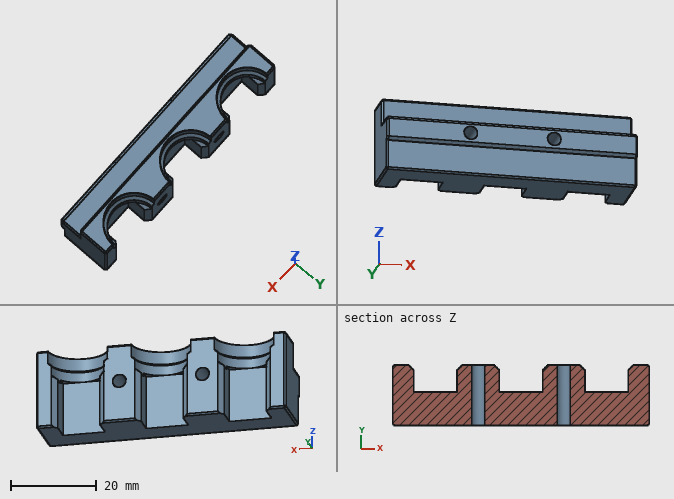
import cadquery as cq

length = 60.0
depth = 14.2
height = 19.0
upper_depth = 8.2
lower_depth = 13.2
ledge_z = 12.85
lip_z = 7.0
edge_chamfer = 0.4
lip_chamfer = 0.7

pitch = length / 3
seat_centers = (-pitch, 0, pitch)
seat_radius = 7.15
seat_chamfer = 0.1
seat_wall_height = 3.1
cone_height = 0.65
bore_radius = 6.3

slot_half_width = 5.05
flare = bore_radius - slot_half_width
slope_top_z = ledge_z
slope_height = 0.8

hole_diameter = 3.2
hole_z = 10.0
hole_centers = (-pitch / 2, pitch / 2)


def make_body():
    outline = [
        (0, 0),
        (-lower_depth, 0),
        (-lower_depth, lip_z),
        (-depth, lip_z),
        (-depth, ledge_z),
        (-upper_depth, ledge_z),
        (-upper_depth, height),
        (0, height),
    ]
    body = cq.Workplane("YZ").polyline(outline).close().extrude(length)
    body = body.translate((-length / 2, 0, 0))
    lip_edges = body.faces("<Y").edges("|X")
    body = lip_edges.chamfer(lip_chamfer)
    long_edges = body.faces("<Z or >Z").edges("|X")
    body = long_edges.chamfer(edge_chamfer)
    return body.faces("<X or >X").chamfer(edge_chamfer)


def make_seat_cutter():
    """Stepped round seat and the slot beneath it, centred on X = 0."""
    seat_rim_radius = seat_radius + seat_chamfer
    cone_top_z = height - seat_wall_height
    cone_bottom_z = cone_top_z - cone_height
    slope_bottom_z = slope_top_z - slope_height

    round_profile = [
        (0, slope_bottom_z),
        (bore_radius, slope_bottom_z),
        (bore_radius, cone_bottom_z),
        (seat_radius, cone_top_z),
        (seat_radius, height - seat_chamfer),
        (seat_rim_radius, height),
        (0, height),
    ]
    seat = cq.Workplane("XZ").polyline(round_profile).close().revolve(360, (0, 0), (0, 1))

    bore_envelope = [
        (-slot_half_width, slope_bottom_z),
        (slot_half_width, slope_bottom_z),
        (bore_radius, slope_top_z),
        (seat_rim_radius, slope_top_z),
        (seat_rim_radius, height),
        (-seat_rim_radius, height),
        (-seat_rim_radius, slope_top_z),
        (-bore_radius, slope_top_z),
    ]
    envelope = cq.Workplane("XZ").polyline(bore_envelope).close().extrude(seat_rim_radius, both=True)

    slot_outline = [
        (-bore_radius, 0),
        (-slot_half_width, -flare),
        (-slot_half_width, -bore_radius),
        (slot_half_width, -bore_radius),
        (slot_half_width, -flare),
        (bore_radius, 0),
    ]
    slot = cq.Workplane("XY").polyline(slot_outline).close().extrude(slope_top_z)
    return seat.intersect(envelope).union(slot)


def make_holes():
    points = [(x, hole_z) for x in hole_centers]
    return cq.Workplane("XZ").pushPoints(points).circle(hole_diameter / 2).extrude(depth)


result = make_body()
seat_cutter = make_seat_cutter()
for x in seat_centers:
    result = result.cut(seat_cutter.translate((x, 0, 0)))
result = result.cut(make_holes())